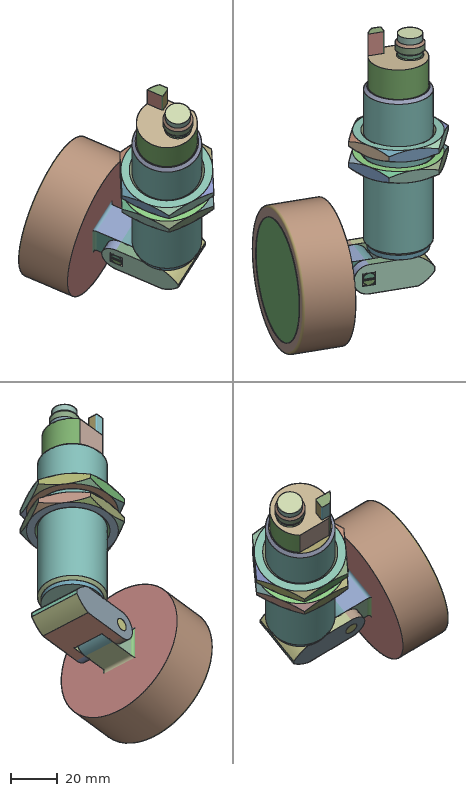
import cadquery as cq
import math


head_radius = 32.5
head_thickness = 24.1
head_back_x = -31.1
head_front_x = head_back_x - head_thickness
head_edge_radius = 1.0

face_disc_radius = 27.5
face_disc_thickness = 2.8
face_disc_setback = 0.3

pivot_x = -17.9
arm_width = 15.5
fork_width = 25.3
fork_half_height = 7.0
arm_root_radius = 1.3
arm_slot_clearance = 0.4
fork_nose_start_x = 4.6
fork_nose_tip_x = 12.1
fork_nose_tip_half_height = 1.0
fork_nose_arc_radius = 19.7

screw_diameter = 5.8
screw_radius = screw_diameter / 2
screw_slot_width = 0.8
screw_slot_depth = 0.8
pocket_size = 5.9
pocket_depth = 0.8

total_height = 140.8
post_height = 10.4
top_z = total_height - head_radius
cap_top_z = top_z - post_height
barrel_top_z = 83.8
barrel_bottom_z = 9.3
barrel_diameter = 30.0
barrel_radius = barrel_diameter / 2
barrel_chamfer = 1.4
neck_radius = 13.5

cap_radius = 13.1
cap_flat_y = 10.7

post_right_x = -4.5
post_front_y = 4.9
post_back_y = 9.9
post_corner_radius = 0.5

connector_x = 5.4
connector_radius = 5.5
collar_radius = 6.5
collar_bottom_z = 100.0
collar_top_z = 105.2
collar_bottom_chamfer = 0.8
collar_top_chamfer = 1.3
connector_root_flare = 0.4

nut_across_flats = 39.4
nut_thickness = 5.6
nut_bottom_heights = (46.9, 57.0)
nut_corner_angle = 30
nut_bore_chamfer = 1.1


def cylinder_z(radius, bottom, top):
    """Upright cylinder between two heights."""
    return cq.Workplane("XY", origin=(0, 0, bottom)).circle(radius).extrude(top - bottom)


def cylinder_x(radius, start, end):
    """Cylinder along the head axis between two X positions."""
    return cq.Workplane("YZ", origin=(start, 0, 0)).circle(radius).extrude(end - start)


def box_between(x_range, y_range, z_range):
    """Box given by its limits along each axis."""
    size = [high - low for low, high in (x_range, y_range, z_range)]
    corner = (x_range[0], y_range[0], z_range[0])
    return cq.Workplane("XY").box(*size, centered=False).translate(corner)


def pivot_cylinder(radius, width):
    """Cylinder on the pivot axis, centred across the fork."""
    return cq.Workplane("XZ", origin=(pivot_x, 0, 0)).circle(radius).extrude(width / 2, both=True)


def make_arm():
    """Rectangular arm from the back of the head, rounded around the pivot."""
    height = (-fork_half_height, fork_half_height)
    bar = box_between((head_back_x, pivot_x), (-arm_width / 2, arm_width / 2), height)
    return bar.union(pivot_cylinder(fork_half_height, arm_width))


def make_head():
    disc = cylinder_x(head_radius, head_front_x, head_back_x).faces("<X").edges().fillet(head_edge_radius)
    recess_floor_x = head_front_x + face_disc_setback + face_disc_thickness
    recess = cylinder_x(face_disc_radius, head_front_x, recess_floor_x)
    near_back_face = cq.selectors.BoxSelector(
        (head_back_x - arm_root_radius, -arm_width, -arm_width),
        (head_back_x + arm_root_radius, arm_width, arm_width),
    )
    arm_root = disc.union(make_arm()).edges(near_back_face).edges("%LINE")
    head = arm_root.fillet(arm_root_radius)
    return head.cut(recess).cut(pivot_cylinder(screw_radius, arm_width))


def make_face_disc():
    front_x = head_front_x + face_disc_setback
    return cylinder_x(face_disc_radius, front_x, front_x + face_disc_thickness)


def make_fork():
    """Fork below the barrel: round at the pivot end, with a curved nose at the other."""
    fork = (
        cq.Workplane("XZ")
        .moveTo(pivot_x, fork_half_height)
        .lineTo(fork_nose_start_x, fork_half_height)
        .radiusArc((fork_nose_tip_x, fork_nose_tip_half_height), fork_nose_arc_radius)
        .lineTo(fork_nose_tip_x, -fork_nose_tip_half_height)
        .radiusArc((fork_nose_start_x, -fork_half_height), fork_nose_arc_radius)
        .lineTo(pivot_x, -fork_half_height)
        .threePointArc((pivot_x - fork_half_height, 0), (pivot_x, fork_half_height))
        .close()
        .extrude(fork_width / 2, both=True)
    )
    pocket = box_between(
        (pivot_x - pocket_size / 2, pivot_x + pocket_size / 2),
        (-fork_width / 2, -fork_width / 2 + pocket_depth),
        (-pocket_size / 2, pocket_size / 2),
    )
    arm_slot = box_between(
        (pivot_x - fork_half_height, pivot_x + fork_half_height + arm_slot_clearance),
        (-arm_width / 2, arm_width / 2),
        (-fork_half_height, fork_half_height),
    )
    return fork.cut(arm_slot).cut(pocket).cut(pivot_cylinder(screw_radius, fork_width))


def make_cap():
    """Cap with a flat at the back, carrying the indicator window post."""
    cap = cylinder_z(cap_radius, barrel_top_z, top_z)
    cap_sides = (-cap_radius, cap_radius)
    behind_flat = box_between(cap_sides, (cap_flat_y, cap_radius), (barrel_top_z, top_z))
    above_cap = box_between(cap_sides, cap_sides, (cap_top_z, top_z))
    post = (
        box_between((-cap_radius, post_right_x), (post_front_y, post_back_y), (cap_top_z, top_z))
        .edges("|Z and >X")
        .fillet(post_corner_radius)
    )
    return cap.cut(behind_flat).cut(above_cap.cut(post))


def make_connector():
    """Round plug with a flared root and a chamfered collar, revolved about its own axis."""
    profile = [
        (0, cap_top_z),
        (connector_radius + connector_root_flare, cap_top_z),
        (connector_radius, cap_top_z + connector_root_flare),
        (connector_radius, collar_bottom_z),
        (collar_radius, collar_bottom_z + collar_bottom_chamfer),
        (collar_radius, collar_top_z - collar_top_chamfer),
        (connector_radius, collar_top_z),
        (connector_radius, top_z),
        (0, top_z),
    ]
    plug = cq.Workplane("XZ").polyline(profile).close().revolve(360, (0, 0), (0, 1))
    return plug.translate((connector_x, 0, 0))


def make_sensor_body():
    barrel = cylinder_z(barrel_radius, barrel_bottom_z, barrel_top_z).edges().chamfer(barrel_chamfer)
    neck = cylinder_z(neck_radius, fork_half_height, barrel_bottom_z)
    return barrel.union(neck).union(make_fork()).union(make_cap()).union(make_connector())


def make_screw():
    """Slotted pivot screw across the whole fork."""
    slot = box_between(
        (pivot_x - screw_radius, pivot_x + screw_radius),
        (-fork_width / 2, -fork_width / 2 + screw_slot_depth),
        (-screw_slot_width / 2, screw_slot_width / 2),
    )
    return pivot_cylinder(screw_radius, fork_width).cut(slot)


def make_nut(bottom):
    """Hexagon nut with its corners turned off on both sides and a countersunk bore."""
    flat_radius = nut_across_flats / 2
    corner_radius = flat_radius / math.cos(math.pi / 6)
    hexagon = (
        cq.Workplane("XY", origin=(0, 0, bottom)).polygon(6, 2 * corner_radius).extrude(nut_thickness)
    )
    corner_drop = (corner_radius - flat_radius) * math.tan(math.radians(nut_corner_angle))
    turned = (
        cylinder_z(corner_radius, bottom, bottom + nut_thickness)
        .edges()
        .chamfer(corner_drop, corner_radius - flat_radius)
    )
    bore = cylinder_z(barrel_radius, bottom, bottom + nut_thickness)
    nut = hexagon.intersect(turned).cut(bore)
    return nut.edges(cq.selectors.RadiusNthSelector(0)).chamfer(nut_bore_chamfer)


head = make_head()
face_disc = make_face_disc()
sensor_body = make_sensor_body()
screw = make_screw()
nuts = [make_nut(bottom) for bottom in nut_bottom_heights]

result = cq.Compound.makeCompound(
    [head.val(), face_disc.val(), sensor_body.val(), screw.val(), *[nut.val() for nut in nuts]]
)